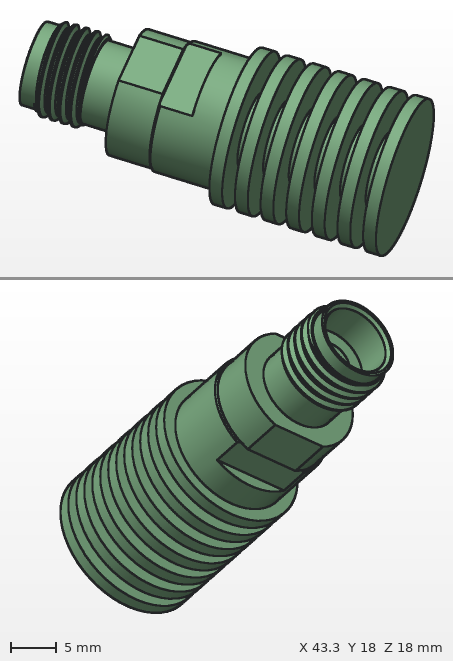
import cadquery as cq


barrel_diameter = 9.6
barrel_length = 11.0
collar_diameter = 14.5
collar_across_flats = 13.0
collar_length = 5.15
connector_length = barrel_length + collar_length

bore_diameter = 8.1
bore_depth = 4.8
bore_mouth_diameter = 9.0
bore_mouth_depth = 0.4

thread_diameter = 10.8
thread_pitch = 1.25
thread_crest_width = 0.2
thread_base_width = 1.0
thread_start = 1.7
thread_end = 7.15
thread_end_chamfer = 0.4
envelope_clearance = 0.2
thread_root_sink = 0.1
helix_start = 0.24
helix_turns = 6

contact_diameter = 4.7

fin_count = 7
fin_diameter = 18.0
fin_thickness = 1.5
fin_pitch = 3.0
core_diameter = 8.5
overall_length = 43.3
fins_length = (fin_count - 1) * fin_pitch + fin_thickness
fins_start = overall_length - fins_length
neck_diameter = 15.0
neck_length = fins_start - connector_length
neck_chamfer = 0.2
neck_across_flats = 12.0
neck_flat_length = 3.95


def cylinder(start, length, diameter):
    """Cylinder along +X, beginning at X = start."""
    return cq.Workplane("YZ", origin=(start, 0, 0)).circle(diameter / 2).extrude(length)


def flatted_cylinder(start, length, diameter, across_flats):
    """Cylinder along +X with one flat on top and one underneath."""
    slab = (
        cq.Workplane("YZ", origin=(start, 0, 0))
        .rect(diameter, across_flats)
        .extrude(length)
    )
    return cylinder(start, length, diameter).intersect(slab)


def make_thread():
    """Right-hand helical ridge, trimmed and chamfered at both ends."""
    root_radius = barrel_diameter / 2
    inner_radius = root_radius - thread_root_sink
    crest_radius = thread_diameter / 2
    flank_slope = (thread_base_width - thread_crest_width) / 2 / (crest_radius - root_radius)
    half_crest = thread_crest_width / 2
    half_inner = thread_base_width / 2 + thread_root_sink * flank_slope

    helix = cq.Wire.makeHelix(thread_pitch, thread_pitch * helix_turns, root_radius)
    ridge = (
        cq.Workplane("XZ")
        .polyline([
            (inner_radius, -half_inner),
            (crest_radius, -half_crest),
            (crest_radius, half_crest),
            (inner_radius, half_inner),
        ])
        .close()
        .sweep(cq.Workplane(obj=helix), isFrenet=True)
        .rotate((0, 0, 0), (0, 1, 0), 90)
        .translate((helix_start, 0, 0))
    )
    envelope_diameter = thread_diameter + 2 * envelope_clearance
    envelope = (
        cylinder(thread_start, thread_end - thread_start, envelope_diameter)
        .faces("<X or >X")
        .chamfer(thread_end_chamfer + envelope_clearance)
    )
    return ridge.intersect(envelope)


def make_bore():
    """Blind bore with a tapered mouth."""
    return (
        cq.Workplane("XY")
        .polyline([
            (0, 0),
            (0, bore_mouth_diameter / 2),
            (bore_mouth_depth, bore_diameter / 2),
            (bore_depth, bore_diameter / 2),
            (bore_depth, 0),
        ])
        .close()
        .revolve(360, (0, 0, 0), (1, 0, 0))
    )


def make_contact():
    return cylinder(bore_depth, connector_length - bore_depth, contact_diameter)


def make_connector():
    barrel = cylinder(0, barrel_length, barrel_diameter)
    collar = flatted_cylinder(barrel_length, collar_length, collar_diameter, collar_across_flats)
    return barrel.union(make_thread()).union(collar).cut(make_bore()).cut(make_contact())


def make_heat_sink():
    neck = cylinder(connector_length, neck_length, neck_diameter).faces("<X").chamfer(neck_chamfer)
    flats = flatted_cylinder(connector_length, neck_flat_length, neck_diameter, neck_across_flats)
    flatted_end = cylinder(connector_length, neck_flat_length, neck_diameter)
    neck = neck.cut(flatted_end.cut(flats))

    heat_sink = neck.union(cylinder(fins_start, fins_length, core_diameter))
    for index in range(fin_count):
        fin = cylinder(fins_start + index * fin_pitch, fin_thickness, fin_diameter)
        heat_sink = heat_sink.union(fin)
    return heat_sink


connector = make_connector()
contact = make_contact()
heat_sink = make_heat_sink()

result = cq.Compound.makeCompound([
    *connector.solids().vals(),
    contact.val(),
    *heat_sink.solids().vals(),
])